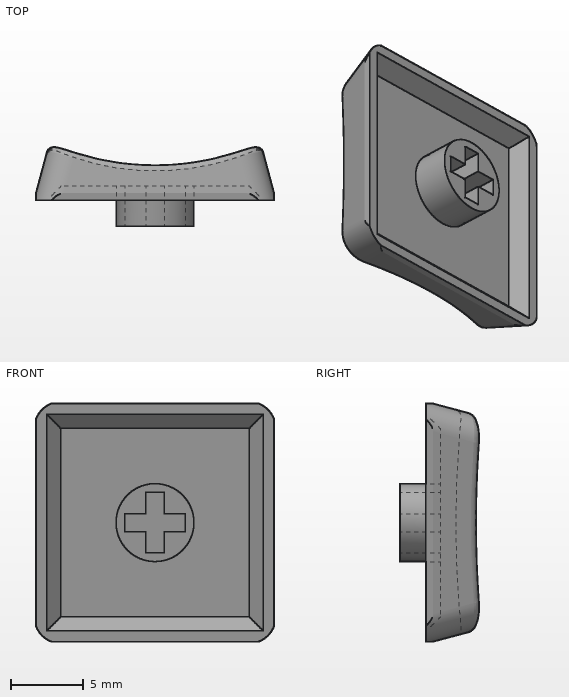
import cadquery as cq
import math


base_width = 16.5
rim_height = 0.5
side_taper = 15.0
blank_height = 4.5
corner_radius = 2.0

dish_lowest_height = 2.05
dish_radius_across = 17.5
dish_radius_along = 72.0
top_edge_radius = 0.5

pocket_opening = 15.0
pocket_floor = 13.04
pocket_depth = 1.0

stem_diameter = 5.4
stem_projection = 1.8
stem_length = stem_projection + pocket_depth
cross_length = 4.2
cross_width = 1.25
socket_depth = stem_length


def plane_at(height):
    """Workplane at Y = height whose normal points to +Y."""
    return cq.Workplane(cq.Plane(origin=(0, height, 0), xDir=(1, 0, 0), normal=(0, 1, 0)))


def make_body():
    """Tapered square block with rounded sloping corners, trimmed to straight sides around the rim."""
    foot_width = base_width + 2 * rim_height * math.tan(math.radians(side_taper))
    block = plane_at(0).rect(foot_width, foot_width).extrude(blank_height, taper=side_taper)
    sloping_edges = block.edges("not(<Y or >Y)")
    column = plane_at(0).rect(base_width, base_width).extrude(blank_height)
    return sloping_edges.fillet(corner_radius).intersect(column)


def cut_dish(body):
    """Hollow the top with the outer side of a large ring and round its border."""
    ring_centre = cq.Vector(0, dish_lowest_height + dish_radius_along, 0)
    ring = cq.Solid.makeTorus(
        dish_radius_along - dish_radius_across, dish_radius_across, ring_centre, cq.Vector(1, 0, 0)
    )
    dished = body.cut(cq.Workplane(ring))
    return dished.faces("%TORUS").edges().fillet(top_edge_radius)


def make_pocket():
    """Square pocket that narrows from the rim to its floor."""
    return (
        plane_at(0)
        .rect(pocket_opening, pocket_opening)
        .workplane(offset=pocket_depth)
        .rect(pocket_floor, pocket_floor)
        .loft()
    )


def make_stem():
    """Round post from the pocket floor to the stem tip."""
    return plane_at(-stem_projection).circle(stem_diameter / 2).extrude(stem_length)


def make_socket():
    """Cross-shaped hole entering from the stem tip."""
    tip = plane_at(-stem_projection)
    upright = tip.rect(cross_width, cross_length).extrude(socket_depth)
    crossbar = tip.rect(cross_length, cross_width).extrude(socket_depth)
    return upright.union(crossbar)


cap = cut_dish(make_body()).cut(make_pocket())
result = cap.union(make_stem()).cut(make_socket())